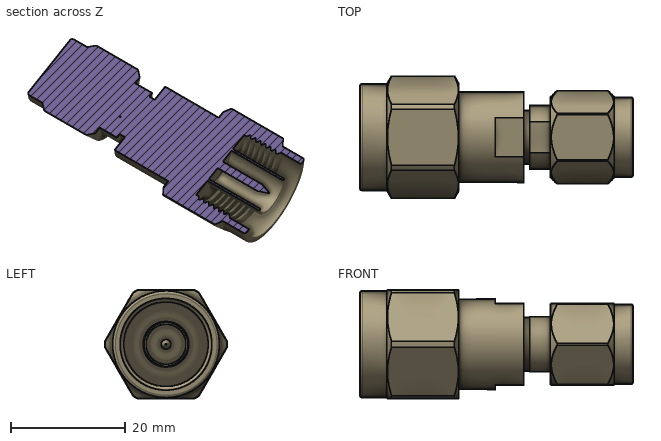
import cadquery as cq
import math


LARGE_NUT_START = 4.75
LARGE_NUT_END = 17.36
BODY_FLAT_START = 23.75
BODY_END = 28.72
NECK_END = 29.75
SMALL_NUT_START = 33.4
SMALL_NUT_END = 44.62
TOTAL_LENGTH = 47.89

LARGE_RING_RADIUS = 9.35
LARGE_RING_ROUND = 0.45
LARGE_NUT_FLATS = 19.05
LARGE_NUT_CORNERS = 21.46
LARGE_NUT_CHAMFER_ANGLE = 30

BODY_RADIUS = 7.93
BODY_FLATS = 14.3
NECK_RADIUS = 4.7
COLLAR_RADIUS = 5.58
COLLAR_FLATS = 9.7

SMALL_NUT_FLATS = 14.29
SMALL_NUT_CORNERS = 16.3
SMALL_NUT_CHAMFER_ANGLE = 45
SMALL_RING_RADIUS = 7.0
SMALL_RING_ROUND = 0.45

BORE_RADIUS = 8.05
BORE_DEPTH = 4.1
THREAD_CREST_RADIUS = 7.4
LEAD_IN_LENGTH = BORE_RADIUS - THREAD_CREST_RADIUS
THREAD_PITCH = 25.4 / 24
THREAD_CREST_WIDTH = THREAD_PITCH / 4
THREAD_TURNS = 6
THREAD_RELIEF = THREAD_PITCH / 2
SOCKET_DEPTH = BORE_DEPTH + LEAD_IN_LENGTH + THREAD_TURNS * THREAD_PITCH + THREAD_RELIEF

SLEEVE_START = 0.7
SLEEVE_OUTER_RADIUS = 4.0
SLEEVE_INNER_RADIUS = 3.5
SLEEVE_CHAMFER = 0.15
PIN_START = 1.3
PIN_RADIUS = 0.85
PIN_TIP_RADIUS = 0.1
PIN_TIP_LENGTH = 2.0


def cylinder(start, end, radius):
    """Solid cylinder on the X axis."""
    return cq.Workplane("YZ").workplane(offset=start).circle(radius).extrude(end - start)


def revolved(points):
    """Solid swept around the X axis by a closed outline of (x, radius) points."""
    return cq.Workplane("XY").polyline(points).close().revolve(360, (0, 0, 0), (1, 0, 0))


def hex_nut(start, end, across_flats, across_corners, face_radius, chamfer_angle):
    """Hexagon with flats facing +Z and -Z, its corners turned down and both ends coned.

    Each cone opens from face_radius at the end of the nut; the angle is measured from the end plane.
    """
    full_corners = across_flats / math.cos(math.radians(30))
    prism = cq.Workplane("YZ").workplane(offset=start).polygon(6, full_corners).extrude(end - start)
    corner_radius = across_corners / 2
    chamfer_length = (corner_radius - face_radius) * math.tan(math.radians(chamfer_angle))
    envelope = revolved([
        (start, 0),
        (start, face_radius),
        (start + chamfer_length, corner_radius),
        (end - chamfer_length, corner_radius),
        (end, face_radius),
        (end, 0),
    ])
    return prism.intersect(envelope)


def flatted_cylinder(start, end, radius, across_flats):
    """Cylinder with two wrench flats facing +Z and -Z."""
    length = end - start
    slab = cq.Workplane("XY").box(length, 2 * radius, across_flats).translate((start + length / 2, 0, 0))
    return cylinder(start, end, radius).intersect(slab)


def outer_shape():
    large_ring = cylinder(0, LARGE_NUT_START, LARGE_RING_RADIUS).faces("<X").edges().fillet(LARGE_RING_ROUND)
    small_ring = cylinder(SMALL_NUT_END, TOTAL_LENGTH, SMALL_RING_RADIUS)
    small_ring = small_ring.faces(">X").edges().fillet(SMALL_RING_ROUND)
    large_nut = hex_nut(
        LARGE_NUT_START, LARGE_NUT_END, LARGE_NUT_FLATS, LARGE_NUT_CORNERS,
        LARGE_RING_RADIUS, LARGE_NUT_CHAMFER_ANGLE,
    )
    small_nut = hex_nut(
        SMALL_NUT_START, SMALL_NUT_END, SMALL_NUT_FLATS, SMALL_NUT_CORNERS,
        SMALL_RING_RADIUS, SMALL_NUT_CHAMFER_ANGLE,
    )
    return (
        large_ring
        .union(large_nut)
        .union(cylinder(LARGE_NUT_END, BODY_FLAT_START, BODY_RADIUS))
        .union(flatted_cylinder(BODY_FLAT_START, BODY_END, BODY_RADIUS, BODY_FLATS))
        .union(cylinder(BODY_END, NECK_END, NECK_RADIUS))
        .union(flatted_cylinder(NECK_END, SMALL_NUT_START, COLLAR_RADIUS, COLLAR_FLATS))
        .union(small_nut)
        .union(small_ring)
    )


def socket_cavity():
    """Bore, 45 degree lead-in and a smaller hole with ring-shaped V grooves for the thread."""
    thread_start = BORE_DEPTH + LEAD_IN_LENGTH
    outline = [(0, 0), (0, BORE_RADIUS), (BORE_DEPTH, BORE_RADIUS), (thread_start, THREAD_CREST_RADIUS)]
    for turn in range(THREAD_TURNS):
        groove_start = thread_start + turn * THREAD_PITCH + THREAD_CREST_WIDTH
        groove_end = thread_start + (turn + 1) * THREAD_PITCH
        outline.append((groove_start, THREAD_CREST_RADIUS))
        outline.append(((groove_start + groove_end) / 2, BORE_RADIUS))
        outline.append((groove_end, THREAD_CREST_RADIUS))
    outline += [(SOCKET_DEPTH, THREAD_CREST_RADIUS), (SOCKET_DEPTH, 0)]
    return revolved(outline)


def contact_sleeve():
    tube = cylinder(SLEEVE_START, SOCKET_DEPTH, SLEEVE_OUTER_RADIUS)
    tube = tube.faces("<X").edges().chamfer(SLEEVE_CHAMFER)
    return tube.cut(cylinder(SLEEVE_START, SOCKET_DEPTH, SLEEVE_INNER_RADIUS))


def centre_pin():
    return revolved([
        (PIN_START, 0),
        (PIN_START, PIN_TIP_RADIUS),
        (PIN_START + PIN_TIP_LENGTH, PIN_RADIUS),
        (SOCKET_DEPTH, PIN_RADIUS),
        (SOCKET_DEPTH, 0),
    ])


result = outer_shape().cut(socket_cavity()).union(contact_sleeve()).union(centre_pin())